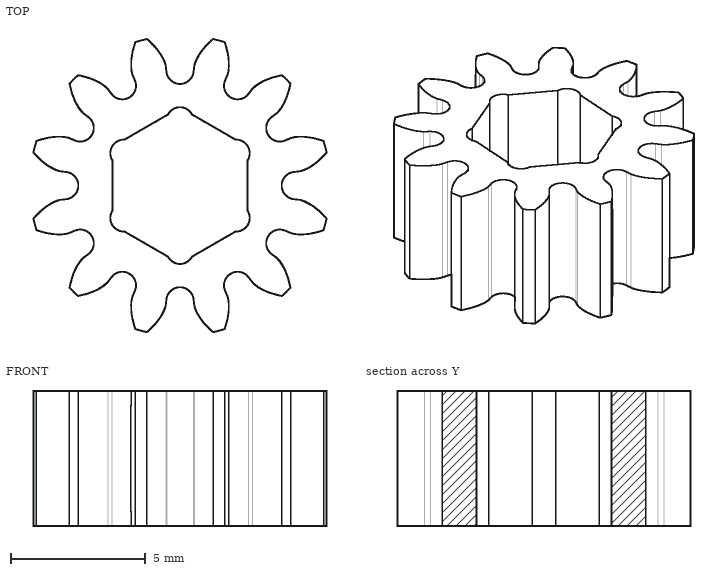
import cadquery as cq
import math

TOOTH_COUNT = 12
DIAMETRAL_PITCH = 32
MODULE = 25.4 / DIAMETRAL_PITCH
PRESSURE_ANGLE = math.radians(20)
FACE_WIDTH = 5.01
TIP_RADIUS = 5.572
DEDENDUM = 1.25 * MODULE
BACKLASH_ANGLE = math.radians(0.2)
FLANK_POINTS = 8

HEX_SIDES = 6
HEX_ACROSS_FLATS = 5.0
RELIEF_RADIUS = 0.5
RELIEF_CENTER_RADIUS = 2.4

PITCH_RADIUS = MODULE * TOOTH_COUNT / 2
BASE_RADIUS = PITCH_RADIUS * math.cos(PRESSURE_ANGLE)
ROOT_RADIUS = PITCH_RADIUS - DEDENDUM
TOOTH_ANGLE = 2 * math.pi / TOOTH_COUNT


def involute(angle):
    return math.tan(angle) - angle


BASE_HALF_ANGLE = (TOOTH_ANGLE / 2 - BACKLASH_ANGLE) / 2 + involute(PRESSURE_ANGLE)

GAP_HALF_ANGLE = TOOTH_ANGLE / 2 - BASE_HALF_ANGLE
GAP_SINE = math.sin(GAP_HALF_ANGLE)
GAP_ARC_RADIUS = ROOT_RADIUS * GAP_SINE / (1 - GAP_SINE)
GAP_TANGENT_RADIUS = (ROOT_RADIUS + GAP_ARC_RADIUS) * math.cos(GAP_HALF_ANGLE)


def polar(radius, angle):
    return (radius * math.cos(angle), radius * math.sin(angle))


def tooth_half_angle(radius):
    """Half angle of the involute tooth at a radius outside the base circle."""
    return BASE_HALF_ANGLE - involute(math.acos(BASE_RADIUS / radius))


def flank(center_angle, side):
    """Points from base to tip of one flank; side is -1 (clockwise) or +1."""
    step = (TIP_RADIUS - BASE_RADIUS) / (FLANK_POINTS - 1)
    radii = [BASE_RADIUS + i * step for i in range(FLANK_POINTS - 1)] + [TIP_RADIUS]
    return [polar(r, center_angle + side * tooth_half_angle(r)) for r in radii]


def add_tooth(outline, center_angle):
    """Continue the outline over one tooth and the gap that follows it."""
    rising = flank(center_angle, -1)
    falling = flank(center_angle, 1)[::-1]
    gap_angle = center_angle + TOOTH_ANGLE / 2
    outline = outline.lineTo(*rising[0])
    outline = outline.spline(rising[1:], includeCurrent=True)
    outline = outline.threePointArc(polar(TIP_RADIUS, center_angle), falling[0])
    outline = outline.spline(falling[1:], includeCurrent=True)
    outline = outline.lineTo(*polar(GAP_TANGENT_RADIUS, center_angle + BASE_HALF_ANGLE))
    return outline.threePointArc(
        polar(ROOT_RADIUS, gap_angle),
        polar(GAP_TANGENT_RADIUS, gap_angle + GAP_HALF_ANGLE),
    )


def gear_blank():
    """Toothed body, with tooth gaps centred on the X and Y axes."""
    first_center = TOOTH_ANGLE / 2
    start = polar(GAP_TANGENT_RADIUS, first_center - BASE_HALF_ANGLE)
    outline = cq.Workplane("XY").moveTo(*start)
    for i in range(TOOTH_COUNT):
        outline = add_tooth(outline, first_center + i * TOOTH_ANGLE)
    return outline.close().extrude(FACE_WIDTH)


def hex_bore():
    """Through bore with corners on the Y axis, each corner eased by a round relief."""
    corner_step = 2 * math.pi / HEX_SIDES
    corner_angles = [math.pi / 2 + i * corner_step for i in range(HEX_SIDES)]
    corner_radius = HEX_ACROSS_FLATS / 2 / math.cos(corner_step / 2)
    corners = [polar(corner_radius, angle) for angle in corner_angles]
    relief_centers = [polar(RELIEF_CENTER_RADIUS, angle) for angle in corner_angles]
    prism = cq.Workplane("XY").polyline(corners).close().extrude(FACE_WIDTH)
    reliefs = cq.Workplane("XY").pushPoints(relief_centers).circle(RELIEF_RADIUS).extrude(FACE_WIDTH)
    return prism.union(reliefs)


result = gear_blank().cut(hex_bore())